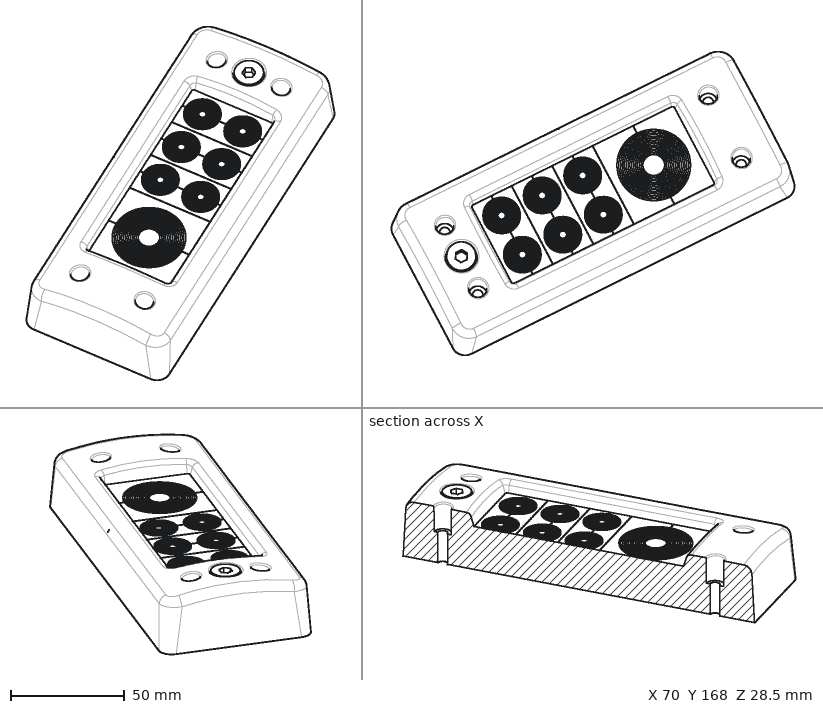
import cadquery as cq
import math

length = 168.0
width = 70.0
height = 28.5
wall_draft = 3.0
base_corner_radius = 6.0
top_corner_radius = 8.5
crown_radius = 137.8
edge_fillet = 4.0

block_width = 40.0
small_row_length = block_width / 2
block_length = 5 * small_row_length
floor_z = 21.3
window_draft = 17.0
window_corner_radius = 1.0
window_fillet = 2.5

large_core_radius = 4.79
large_outer_radius = 16.21
large_circle_count = 15
small_core_radius = 1.7
small_outer_radius = 8.2
small_circle_count = 11
groove_depth = 0.08
joint_width = 0.08

hole_spacing_x = 32.0
hole_spacing_y = 130.0
hole_diameter = 4.5
counterbore_diameter = 8.0
counterbore_depth = 13.5
mouth_fillet = 0.7

bolt_y = hole_spacing_y / 2
bolt_recess_diameter = 14.0
bolt_recess_depth = 5.0
bolt_head_diameter = 13.0
bolt_head_z = 28.2
hex_across_flats = 5.0
hex_depth = 3.4

clearance = 1.7


def plane_at(x, y, z):
    return cq.Workplane("XY", origin=(x, y, z))


def rounded_rectangle(size_x, size_y, radius):
    return cq.Sketch().rect(size_x, size_y).vertices().fillet(radius)


def disc(x, y, bottom_z, top_z, diameter):
    return plane_at(x, y, bottom_z).circle(diameter / 2).extrude(top_z - bottom_z)


def make_housing():
    """Block whose corners widen upward, trimmed by a cylinder along Y and rounded along its top edge."""
    shrink = 2 * height * math.tan(math.radians(wall_draft))
    base = rounded_rectangle(width, length, base_corner_radius)
    top = rounded_rectangle(width - shrink, length - shrink, top_corner_radius)
    top = top.moved(cq.Location(cq.Vector(0, 0, height)))
    block = cq.Workplane("XY").placeSketch(base, top).loft()
    crown = (
        cq.Workplane("XZ", origin=(0, 0, height - crown_radius))
        .circle(crown_radius)
        .extrude(length / 2 + clearance, both=True)
    )
    return block.intersect(crown).faces(">Z").edges().fillet(edge_fillet)


def make_window():
    """Opening that widens from the module block up through the crown."""
    floor = rounded_rectangle(block_width, block_length, window_corner_radius)
    opening_height = height - floor_z + clearance
    return plane_at(0, 0, floor_z).placeSketch(floor).extrude(opening_height, taper=-window_draft)


def round_openings(body):
    """Round the rims where the window and the round recesses meet the crown."""
    crown_face = max(body.faces("%CYLINDER").vals(), key=lambda face: face.Area())
    rims = sorted(crown_face.innerWires(), key=lambda wire: wire.Length())
    window_rim = rims.pop()
    round_edges = [edge for rim in rims for edge in rim.Edges()]
    solid = body.solids().val().fillet(window_fillet, window_rim.Edges())
    return cq.Workplane(solid.fillet(mouth_fillet, round_edges))


def make_bolt():
    """Bolt head standing in its recess, with a hexagon socket pointing along Y."""
    head = disc(0, bolt_y, height - bolt_recess_depth, bolt_head_z, bolt_head_diameter)
    hex_across_corners = hex_across_flats / math.cos(math.pi / 6)
    socket = (
        plane_at(0, bolt_y, bolt_head_z - hex_depth)
        .transformed(rotate=(0, 0, 90))
        .polygon(6, hex_across_corners)
        .extrude(hex_depth)
    )
    return head.cut(socket)


def peel_rings(x, y, core_radius, outer_radius, circle_count):
    """Shallow core disc and every second ring between evenly spaced circles."""
    pitch = (outer_radius - core_radius) / (circle_count - 1)
    plane = plane_at(x, y, floor_z - groove_depth)
    grooves = [plane.circle(core_radius).extrude(groove_depth).val()]
    for index in range(1, circle_count, 2):
        inner = core_radius + index * pitch
        ring = plane.circle(inner + pitch).circle(inner).extrude(groove_depth)
        grooves.append(ring.val())
    return grooves


def module_joints(y_places, ring_sets):
    """Fine lines across the block, interrupted by the ring sets they meet."""
    joints = []
    for joint_y in y_places:
        joint = plane_at(0, joint_y, floor_z - groove_depth / 2).box(block_width, joint_width, groove_depth)
        for x, y, _, outer_radius, _ in ring_sets:
            joint = joint.cut(disc(x, y, 0, height, 2 * outer_radius))
        joints += joint.solids().vals()
    return joints


large_y = small_row_length - block_length / 2
small_ys = [row * small_row_length for row in range(3)]
ring_sets = [(0, large_y, large_core_radius, large_outer_radius, large_circle_count)]
for row_y in small_ys:
    for side in (-1, 1):
        ring_x = side * block_width / 4
        ring_sets.append((ring_x, row_y, small_core_radius, small_outer_radius, small_circle_count))

joint_ys = [large_y] + small_ys + [row_y - small_row_length / 2 for row_y in small_ys]

hole_places = [
    (side_x * hole_spacing_x / 2, side_y * hole_spacing_y / 2) for side_x in (-1, 1) for side_y in (-1, 1)
]

body = make_housing().cut(make_window())
for hole_x, hole_y in hole_places:
    counterbore_floor = height - counterbore_depth
    body = body.cut(disc(hole_x, hole_y, counterbore_floor, height + clearance, counterbore_diameter))
body = body.cut(disc(0, bolt_y, height - bolt_recess_depth, height + clearance, bolt_recess_diameter))
body = round_openings(body)

for hole_x, hole_y in hole_places:
    body = body.cut(disc(hole_x, hole_y, -clearance, height, hole_diameter))
body = body.union(make_bolt())

floor_grooves = module_joints(joint_ys, ring_sets)
for ring_set in ring_sets:
    floor_grooves += peel_rings(*ring_set)
result = cq.Workplane(body.solids().val().cut(*floor_grooves).Solids()[0])